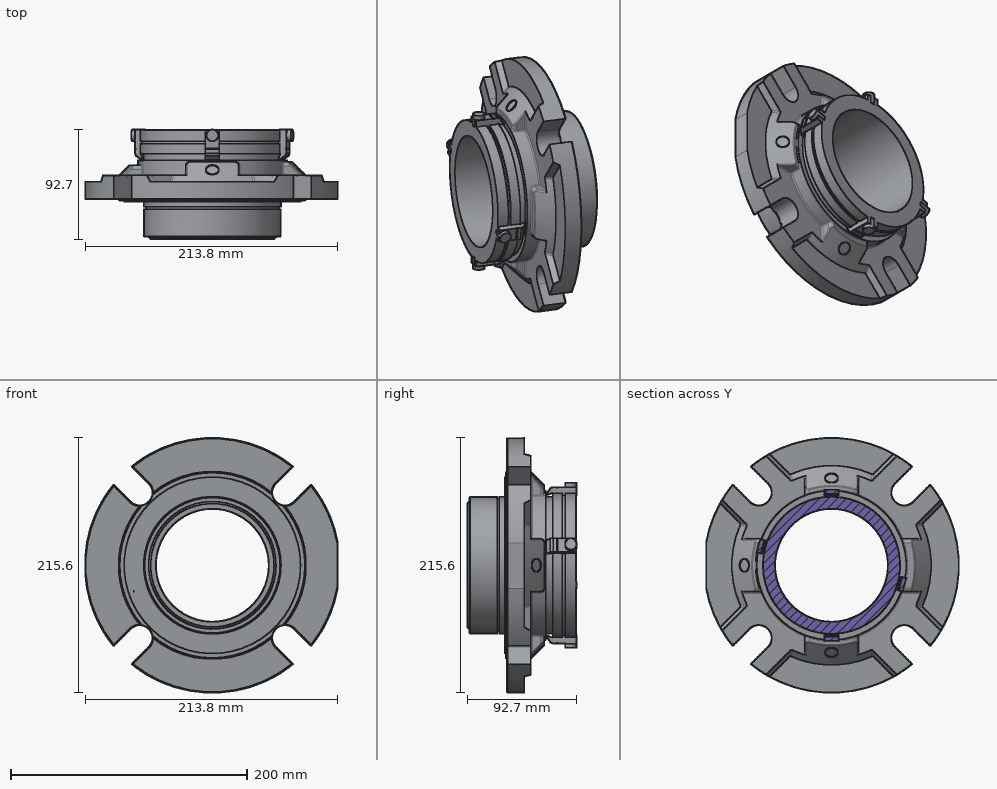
import cadquery as cq
import math


position_tolerance = 0.02

flange_radius = 107.8
flange_thickness = 14.9
flange_flat_x = 106.0
edge_chamfer = 0.6
blank_radius = flange_radius + 2.2

slot_radius = 10.8
slot_end_centre = 87.0
slot_angles = (45, 135, 225, 315)
pad_top_y = 20.3
pad_half_width = 29.5
pad_start = 54.0
recess_corner_fillet = 1.7
pad_side_run = 3.2

register_radius = 79.4
register_height = 1.0
register_chamfer = 1.0
register_root_y = 2.2
face_radius = 149.2 / 2
face_height = 2.0

body_radius = 63.2
body_top_y = 33.0
cone_base_radius = 84.3
body_base_fillet = 1.0

block_width = 44.9
tall_block_angles = (0, 90, 180)
short_block_angle = 270
block_corner = 3.5
tall_block_y = 31.7
short_block_y = 29.0
block_edge_fillet = 1.3
port_diameter = 11.0
port_y = 25.2
port_depth = 0.9

bore_diameter = 95.3
sleeve_diameter = 116.2
nose_diameter = 115.8
sleeve_end_y = -31.7
spigot_diameter = 107.8
spigot_end_y = -33.6
spigot_chamfer = 1.7
groove_diameter = 112.8
groove_near_y = -6.5
groove_far_y = -8.2
collar_diameter = 122.0
collar_gap_diameter = 119.5
front_ring_start_y = 38.5
front_ring_end_y = 47.0
back_ring_start_y = 49.2
collar_end_y = 58.7

clip_width = 11.9
clip_outer_radius = 66.2
clip_inner_radius = 59.3
clip_bend_start_y = 39.0
clip_bend_y = 36.9
clip_bend_radius = 65.3
clip_toe_y = 33.5
clip_toe_radius = 60.4
clip_angles = (0, 75, 180, 255)
clip_groove_y = 43.1
clip_groove_width = 0.9
clip_groove_depth = 0.5
screw_diameter = 10.0
screw_y = 54.1
screw_head_radius = 69.9


def revolve_profile(points):
    """Revolve a closed (radius, y) outline about the Y axis."""
    return cq.Workplane("XY").polyline(points).close().revolve(360, (0, 0, 0), (0, 1, 0))


def cone_radius_at(y):
    """Radius of the 45 degree gland cone at a given y."""
    return cone_base_radius - (y - flange_thickness)


def cylinder_between(radius, start_y, end_y):
    """Solid cylinder on the Y axis."""
    return revolve_profile([(0, start_y), (radius, start_y), (radius, end_y), (0, end_y)])


def turn(shape, angle):
    """Turn a feature built on the +Z side about the Y axis."""
    return shape.rotate((0, 0, 0), (0, 1, 0), angle)


def bolt_slot():
    """Open-ended slot through the full gland height, on the +Z side."""
    depth = body_top_y + face_height
    start = cq.Workplane("XZ", origin=(0, -face_height, 0))
    round_end = start.center(0, slot_end_centre).circle(slot_radius).extrude(-depth)
    channel = start.center(0, slot_end_centre + flange_radius / 2)
    return round_end.union(channel.rect(2 * slot_radius, flange_radius).extrude(-depth))


def bolt_pad():
    """Strip with leaning sides on the +Z side, reaching past the rim."""
    top_half_width = pad_half_width - pad_side_run
    return (
        cq.Workplane("XY", origin=(0, 0, pad_start))
        .polyline([
            (-pad_half_width, flange_thickness),
            (-top_half_width, pad_top_y),
            (top_half_width, pad_top_y),
            (pad_half_width, flange_thickness),
        ])
        .close()
        .extrude(blank_radius)
    )


def rim_recess():
    """Ring around the 45 degree cone, interrupted by the raised pads."""
    ring = revolve_profile([
        (cone_radius_at(flange_thickness), flange_thickness),
        (blank_radius, flange_thickness),
        (blank_radius, body_top_y),
        (cone_radius_at(body_top_y), body_top_y),
    ])
    for angle in slot_angles:
        ring = ring.cut(turn(bolt_pad(), angle))
    return ring


def port_block(top_y):
    """Square-ended bar with rounded back corners; the cone trims its outer end."""
    return (
        cq.Workplane("XY")
        .center(0, top_y / 2)
        .rect(block_width, top_y)
        .extrude(blank_radius)
        .edges("|Z and >Y")
        .fillet(block_corner)
    )


def back_clearance():
    """Ring around the gland body behind the pads, interrupted by the port blocks."""
    ring = revolve_profile([
        (body_radius, pad_top_y),
        (blank_radius, pad_top_y),
        (blank_radius, body_top_y),
        (body_radius, body_top_y),
    ])
    for angle in tall_block_angles:
        ring = ring.cut(turn(port_block(tall_block_y), angle))
    return ring.cut(turn(port_block(short_block_y), short_block_angle))


def port_recess():
    """Shallow round recess square to the 45 degree cone, on the +Z side."""
    axis = cq.Vector(0, 1, 1).normalized()
    floor_centre = cq.Vector(0, port_y, cone_radius_at(port_y)) - axis * port_depth
    return cq.Workplane(cq.Solid.makeCylinder(port_diameter / 2, 2 * port_depth, floor_centre, axis))


def edges_where(shape, wanted):
    """Edges of a shape whose centre passes a test on (radius from Y, y, edge)."""
    chosen = []
    for edge in shape.edges().vals():
        centre = edge.Center()
        if wanted(math.hypot(centre.x, centre.z), centre.y, edge):
            chosen.append(edge)
    return shape.newObject(chosen)


def is_body_root(radius, y, edge):
    """Concave edges around the body: at the pad level, along the blocks and behind them."""
    in_height = pad_top_y - position_tolerance < y < tall_block_y + position_tolerance
    on_pad_level = edge.BoundingBox().ylen < position_tolerance and y < pad_top_y + position_tolerance
    if on_pad_level:
        return in_height and radius < cone_radius_at(pad_top_y) - body_base_fillet
    return in_height and radius < body_radius + position_tolerance


def is_recess_corner(radius, y, edge):
    """Sloped edges between the pad sides and the cone wall."""
    on_wall = cone_radius_at(pad_top_y) < radius < cone_radius_at(flange_thickness)
    return on_wall and edge.geomType() == "HYPERBOLA"


def is_block_outline(radius, y, edge):
    """Convex edges between the blocks and the cone."""
    behind_pads = y > pad_top_y + body_base_fillet
    outside_body = radius > body_radius + block_edge_fillet
    return behind_pads and outside_body and edge.geomType() != "LINE"


def make_gland():
    """Flange, pads, body and port blocks in one piece."""
    gland = cylinder_between(flange_radius, 0, body_top_y)
    gland = gland.cut(back_clearance()).cut(rim_recess())
    gland = edges_where(gland, is_recess_corner).fillet(recess_corner_fillet)
    gland = edges_where(gland, is_block_outline).fillet(block_edge_fillet)
    gland = edges_where(gland, is_body_root).fillet(body_base_fillet)

    for angle in slot_angles:
        gland = gland.cut(turn(bolt_slot(), angle))
    for angle in tall_block_angles:
        gland = gland.cut(turn(port_recess(), angle))
    beyond_flat = cq.Workplane("XY").box(
        flange_radius, 2 * body_top_y, 2 * flange_radius
    ).translate((flange_flat_x + flange_radius / 2, 0, 0))
    gland = gland.cut(beyond_flat)
    return gland.faces("<Y").edges().chamfer(edge_chamfer)


def make_register():
    """Two shallow steps on the front face, notched by the bolt slots."""
    register = revolve_profile([
        (0, register_root_y),
        (register_radius, register_root_y),
        (register_radius, register_chamfer - register_height),
        (register_radius - register_chamfer, -register_height),
        (face_radius, -register_height),
        (face_radius, -face_height),
        (0, -face_height),
    ])
    for angle in slot_angles:
        register = register.cut(turn(bolt_slot(), angle))
    return register


def make_sleeve():
    """Shaft sleeve with its spigot, groove and two-ring collar, before boring."""
    sleeve_radius = sleeve_diameter / 2
    nose_radius = nose_diameter / 2
    spigot_radius = spigot_diameter / 2
    collar_radius = collar_diameter / 2
    gap_radius = collar_gap_diameter / 2
    groove_radius = groove_diameter / 2
    return revolve_profile([
        (0, spigot_end_y),
        (spigot_radius - spigot_chamfer, spigot_end_y),
        (spigot_radius, spigot_end_y + spigot_chamfer),
        (spigot_radius, sleeve_end_y),
        (nose_radius - edge_chamfer, sleeve_end_y),
        (nose_radius, sleeve_end_y + edge_chamfer),
        (nose_radius, groove_far_y),
        (groove_radius, groove_far_y),
        (groove_radius, groove_near_y),
        (sleeve_radius, groove_near_y),
        (sleeve_radius, front_ring_start_y),
        (collar_radius, front_ring_start_y),
        (collar_radius, front_ring_end_y),
        (gap_radius, front_ring_end_y),
        (gap_radius, back_ring_start_y),
        (collar_radius, back_ring_start_y),
        (collar_radius, collar_end_y),
        (0, collar_end_y),
    ])


def setting_clip():
    """Clip bar with a tapered toe and a screw head, on the +Z side."""
    groove_floor = clip_outer_radius - clip_groove_depth
    bar = (
        cq.Workplane("YZ", origin=(-clip_width / 2, 0, 0))
        .polyline([
            (collar_end_y, clip_inner_radius),
            (collar_end_y, clip_outer_radius),
            (clip_groove_y, clip_outer_radius),
            (clip_groove_y, groove_floor),
            (clip_groove_y - clip_groove_width, groove_floor),
            (clip_groove_y - clip_groove_width, clip_outer_radius),
            (clip_bend_start_y, clip_outer_radius),
            (clip_bend_y, clip_bend_radius),
            (clip_toe_y, clip_toe_radius),
            (clip_toe_y, clip_inner_radius),
            (front_ring_start_y, collar_diameter / 2),
            (front_ring_start_y, clip_inner_radius),
        ])
        .close()
        .extrude(clip_width)
    )
    head = (
        cq.Workplane("XY", origin=(0, screw_y, clip_inner_radius))
        .circle(screw_diameter / 2)
        .extrude(screw_head_radius - clip_inner_radius)
    )
    return bar.union(head)


result = make_gland().union(make_register()).union(make_sleeve())
for clip_angle in clip_angles:
    result = result.union(turn(setting_clip(), clip_angle))
result = result.cut(cylinder_between(bore_diameter / 2, spigot_end_y, collar_end_y))